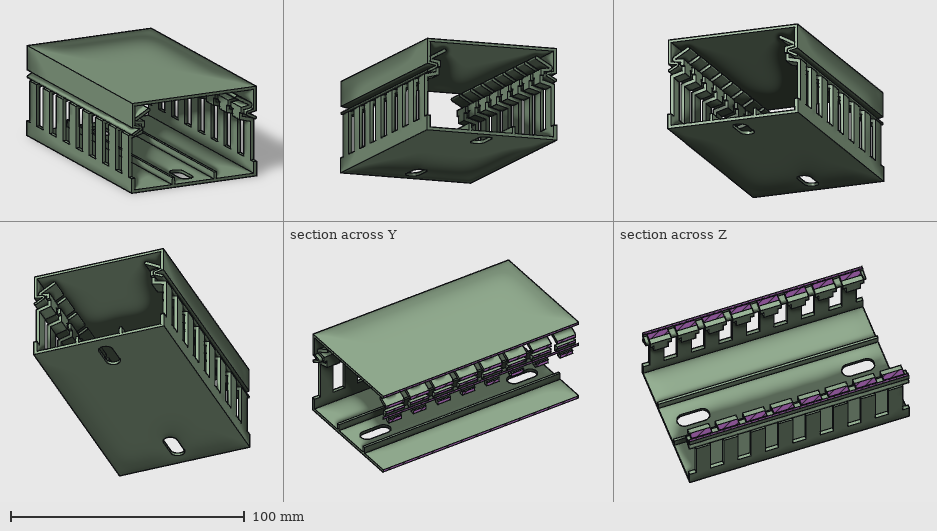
import cadquery as cq
import math

length = 100.0
width = 60.0
height = 40.0

wall = 1.6
floor = 1.4
wall_top = 25.0
lip_thickness = 1.4
lip_depth = 6.8
lower_lip_angle = 15.0
upper_lip_angle = 8.0
lip_corner_bottom = 25.1
lip_corner_top = 31.0
bend_clearance = 0.05
spring_angle = 29.5
spring_length = 7.0

opening_pitch = 12.5
opening_width = 6.0
opening_bottom = 6.5
opening_top = 28.3
neck_width = 3.0

rib_offset = 10.0
rib_base_width = 1.4
rib_tip_width = 1.1
rib_top = 4.4
slot_length = 14.6
slot_width = 6.2
slot_end_distance = 12.5

cover_thickness = 1.3
cover_inset = 0.3
cover_bottom = 29.1
tongue_thickness = 1.1
flange_angle = 11.0
crease_depth = 4.0
tongue_angle = 28.0
tongue_length = 3.9

half_width = width / 2


def rise(run, angle):
    """Height gained over a horizontal run at an angle in degrees."""
    return run * math.tan(math.radians(angle))


def step(point, distance, angle):
    """Point reached from another by going a distance at an angle in degrees."""
    y, z = point
    turn = math.radians(angle)
    return (y + distance * math.cos(turn), z + distance * math.sin(turn))


def extrude_both_halves(half_outline):
    """Extrude the +Y half of a section and join it to its mirror image."""
    half = half_outline.close().extrude(length)
    return half.union(half.mirror("XZ"))


def base_section():
    """Floor, wall, inward lip and sprung arm."""
    wall_inner = half_width - wall
    lip_inner = half_width - lip_depth
    lip_outer = lip_inner + lip_thickness
    lip_underside_top = lip_corner_top - lip_thickness / math.cos(math.radians(upper_lip_angle))

    bend_y = half_width - cover_inset - cover_thickness - bend_clearance - lip_thickness
    bend = (bend_y, lip_corner_top + rise(bend_y - lip_inner, upper_lip_angle))
    lip_normal = upper_lip_angle - 90
    arm_normal = 90 - spring_angle
    arm_direction = 180 - spring_angle
    bend_start = step(bend, lip_thickness, lip_normal)
    bend_middle = step(bend, lip_thickness, (lip_normal + arm_normal) / 2)
    bend_end = step(bend, lip_thickness, arm_normal)

    tip_start = step(bend_end, spring_length, arm_direction)
    tip_end = step(bend, spring_length, arm_direction)
    tip_center = step(tip_end, lip_thickness / 2, arm_normal)
    tip_middle = step(tip_center, lip_thickness / 2, arm_direction)

    return (
        cq.Workplane("YZ")
        .moveTo(0, 0)
        .lineTo(half_width, 0)
        .lineTo(half_width, wall_top)
        .lineTo(lip_outer, wall_top + rise(half_width - lip_outer, lower_lip_angle))
        .lineTo(lip_outer, lip_underside_top + rise(lip_thickness, upper_lip_angle))
        .lineTo(*bend_start)
        .threePointArc(bend_middle, bend_end)
        .lineTo(*tip_start)
        .threePointArc(tip_middle, tip_end)
        .lineTo(*bend)
        .lineTo(lip_inner, lip_corner_top)
        .lineTo(lip_inner, lip_corner_bottom)
        .lineTo(wall_inner, lip_corner_bottom - rise(wall_inner - lip_inner, lower_lip_angle))
        .lineTo(wall_inner, floor)
        .lineTo(0, floor)
    )


def cover_section():
    """Top, side and the folded tongue that snaps into the lip."""
    side_outer = half_width - cover_inset
    side_inner = side_outer - cover_thickness
    crease_y = half_width - crease_depth
    crease = (crease_y, cover_bottom - rise(side_outer - crease_y, flange_angle))
    flange_normal = 90 + flange_angle
    tongue_normal = 270 - tongue_angle
    tongue_direction = -tongue_angle

    tongue_inner = step(crease, tongue_thickness, tongue_normal)
    fold_middle = step(crease, tongue_thickness, (flange_normal + tongue_normal) / 2)
    flange_top = step(crease, tongue_thickness, flange_normal)
    tip_start = step(crease, tongue_length, tongue_direction)
    tip_end = step(tongue_inner, tongue_length, tongue_direction)
    tip_center = step(tip_start, tongue_thickness / 2, tongue_normal)
    tip_middle = step(tip_center, tongue_thickness / 2, tongue_direction)

    return (
        cq.Workplane("YZ")
        .moveTo(0, height)
        .lineTo(side_outer, height)
        .lineTo(side_outer, cover_bottom)
        .lineTo(*crease)
        .lineTo(*tip_start)
        .threePointArc(tip_middle, tip_end)
        .lineTo(*tongue_inner)
        .threePointArc(fold_middle, flange_top)
        .lineTo(side_inner, flange_top[1] + rise(side_inner - flange_top[0], flange_angle))
        .lineTo(side_inner, height - cover_thickness)
        .lineTo(0, height - cover_thickness)
    )


def floor_rib(y):
    """Rib along the floor, tapering slightly towards its flat tip."""
    base_half = rib_base_width / 2
    tip_half = rib_tip_width / 2
    return (
        cq.Workplane("YZ")
        .polyline([(-base_half, floor), (base_half, floor), (tip_half, rib_top), (-tip_half, rib_top)])
        .close()
        .extrude(length)
        .translate((0, y, 0))
    )


def side_opening(x):
    """Cutter through both walls at once: a wide opening with a narrow neck open at the top."""
    opening = cq.Workplane("XY").box(
        opening_width, width, opening_top - opening_bottom, centered=(True, True, False)
    )
    neck = cq.Workplane("XY").box(
        neck_width, width, height - opening_bottom, centered=(True, True, False)
    )
    return opening.union(neck).translate((x, 0, opening_bottom))


def make_base():
    base = extrude_both_halves(base_section())
    for y in (-rib_offset, rib_offset):
        base = base.union(floor_rib(y))
    for i in range(round(length / opening_pitch) + 1):
        base = base.cut(side_opening(i * opening_pitch))
    slots = (
        cq.Workplane("XY")
        .pushPoints([(slot_end_distance, 0), (length - slot_end_distance, 0)])
        .slot2D(slot_length, slot_width)
        .extrude(floor)
    )
    return base.cut(slots)


def make_cover():
    return extrude_both_halves(cover_section())


base = make_base()
cover = make_cover()

result = cq.Compound.makeCompound([base.val(), cover.val()])